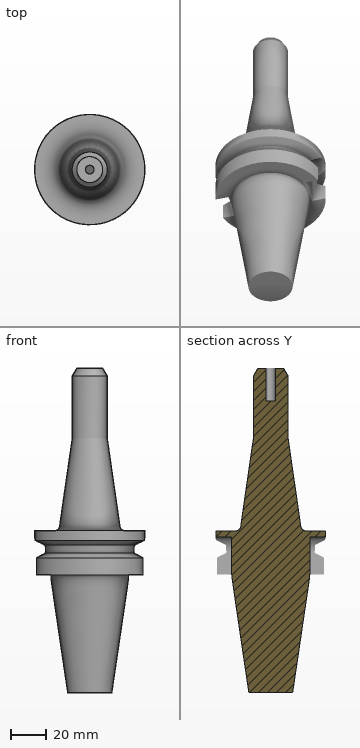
import cadquery as cq
import math

taper_length = 65.5
flange_bottom = 67.5
flange_top = 92.6
total_length = 185.3
cone_top = 145.5

taper_end_radius = 12.6
taper_radius = 22.2
flange_radius = 31.5
groove_radius = 26.5
cone_base_radius = 17.2
nose_radius = 10.0
tip_radius = 7.5
tip_chamfer_height = 4.5

lower_rim_height = 9.6
upper_rim_height = 5.5
groove_flank_height = 2.8
lower_rim_top = flange_bottom + lower_rim_height
upper_rim_bottom = flange_top - upper_rim_height

root_radius = 20.0
root_height = 2.8

slot_width = 16.1
slot_height = 21.3
slot_floor_x = 22.6
cut_clearance = 1.9
hole_diameter = 5.0
hole_depth = 18.5


def turned_body():
    """Revolve the half profile, written as (radius, height), about Z."""
    root_end = (cone_base_radius, flange_top + root_height)
    root_run = root_radius - cone_base_radius
    arc_radius = (root_run**2 + root_height**2) / (2 * root_height)
    half_angle = math.atan2(root_height, root_run)
    root_middle = (
        root_radius - arc_radius * math.sin(half_angle),
        flange_top + arc_radius * (1 - math.cos(half_angle)),
    )
    profile = (
        cq.Workplane("XZ")
        .lineTo(taper_end_radius, 0)
        .lineTo(taper_radius, taper_length)
        .lineTo(taper_radius, flange_bottom)
        .lineTo(flange_radius, flange_bottom)
        .lineTo(flange_radius, lower_rim_top)
        .lineTo(groove_radius, lower_rim_top + groove_flank_height)
        .lineTo(groove_radius, upper_rim_bottom - groove_flank_height)
        .lineTo(flange_radius, upper_rim_bottom)
        .lineTo(flange_radius, flange_top)
        .lineTo(root_radius, flange_top)
        .threePointArc(root_middle, root_end)
        .lineTo(nose_radius, cone_top)
        .lineTo(nose_radius, total_length - tip_chamfer_height)
        .lineTo(tip_radius, total_length)
        .lineTo(0, total_length)
        .close()
    )
    return profile.revolve(360, (0, 0, 0), (0, 1, 0))


def drive_slot():
    """Round-topped cutter for the +X side, open at the flange bottom."""
    half_width = slot_width / 2
    slot_top = flange_bottom + slot_height
    arc_start = slot_top - half_width
    return (
        cq.Workplane("YZ", origin=(slot_floor_x, 0, 0))
        .moveTo(-half_width, flange_bottom)
        .lineTo(half_width, flange_bottom)
        .lineTo(half_width, arc_start)
        .threePointArc((0, slot_top), (-half_width, arc_start))
        .close()
        .extrude(flange_radius - slot_floor_x + cut_clearance)
    )


def tip_hole():
    """Blind hole in the tip face."""
    return (
        cq.Workplane("XY", origin=(0, 0, total_length - hole_depth))
        .circle(hole_diameter / 2)
        .extrude(hole_depth)
    )


result = turned_body().cut(tip_hole())
for side_angle in (0, 180):
    result = result.cut(drive_slot().rotate((0, 0, 0), (0, 0, 1), side_angle))